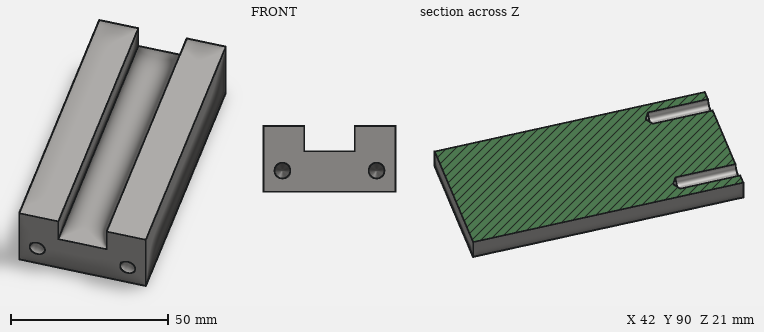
import cadquery as cq
import math

length = 90.0
width = 42.0
height = 21.0

channel_width = 16.0
channel_depth = 8.0

hole_diameter = 5.0
hole_depth = 20.0
hole_spacing = 30.0
hole_height = 6.75
drill_point_angle = 118.0


def drilled_hole(x):
    """Hole along +Y from the -Y end, finished with a conical drill point."""
    radius = hole_diameter / 2
    tip_length = radius / math.tan(math.radians(drill_point_angle / 2))
    half_section = [
        (x, 0),
        (x + radius, 0),
        (x + radius, hole_depth),
        (x, hole_depth + tip_length),
    ]
    return (
        cq.Workplane("XY")
        .polyline(half_section)
        .close()
        .revolve(360, (x, 0, 0), (x, 1, 0))
        .translate((0, -length / 2, hole_height))
    )


block = cq.Workplane("XY").box(width, length, height, centered=(True, True, False))
channel = (
    cq.Workplane("XY")
    .workplane(offset=height - channel_depth)
    .box(channel_width, length, channel_depth, centered=(True, True, False))
)

result = block.cut(channel)
for side in (-1, 1):
    result = result.cut(drilled_hole(side * hole_spacing / 2))